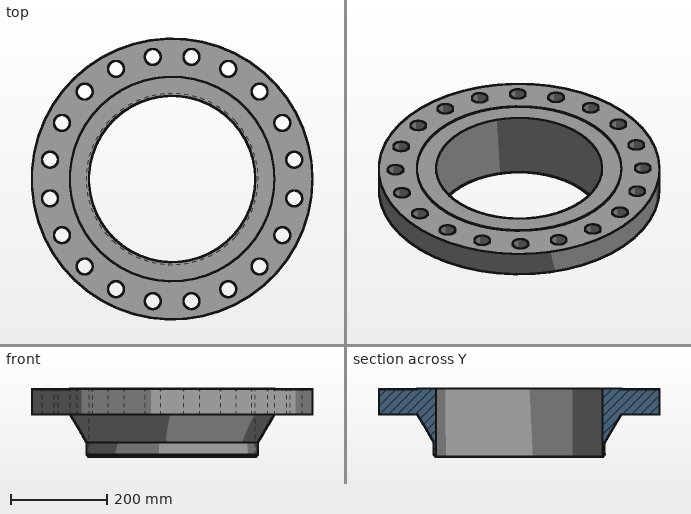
import cadquery as cq

flange_diameter = 584.0
total_height = 142.5
bore_diameter = 345.0

raised_face_diameter = 425.5
raised_face_height = 2.0
flange_thickness = 53.0

hub_top_diameter = raised_face_diameter
neck_diameter = 357.0
neck_height = 30.0

bevel_width = 4.0
bevel_height = 5.0

bolt_count = 20
bolt_circle_diameter = 514.0
bolt_hole_diameter = 33.0

flange_top = total_height - raised_face_height
flange_bottom = flange_top - flange_thickness


def make_body():
    """Revolve the flange and hub section around Z."""
    bore_radius = bore_diameter / 2
    neck_radius = neck_diameter / 2
    section = (
        cq.Workplane("XZ")
        .moveTo(bore_radius, 0)
        .lineTo(neck_radius - bevel_width, 0)
        .lineTo(neck_radius, bevel_height)
        .lineTo(neck_radius, neck_height)
        .lineTo(hub_top_diameter / 2, flange_bottom)
        .lineTo(flange_diameter / 2, flange_bottom)
        .lineTo(flange_diameter / 2, flange_top)
        .lineTo(raised_face_diameter / 2, flange_top)
        .lineTo(raised_face_diameter / 2, total_height)
        .lineTo(bore_radius, total_height)
        .close()
    )
    return section.revolve(360, (0, 0, 0), (0, 1, 0))


def make_bolt_holes():
    """Cylinders that pass through the flange on the bolt circle."""
    half_pitch = 360 / bolt_count / 2
    return (
        cq.Workplane("XY")
        .workplane(offset=flange_bottom)
        .polarArray(bolt_circle_diameter / 2, half_pitch, 360, bolt_count)
        .circle(bolt_hole_diameter / 2)
        .extrude(flange_thickness)
    )


result = make_body().cut(make_bolt_holes())